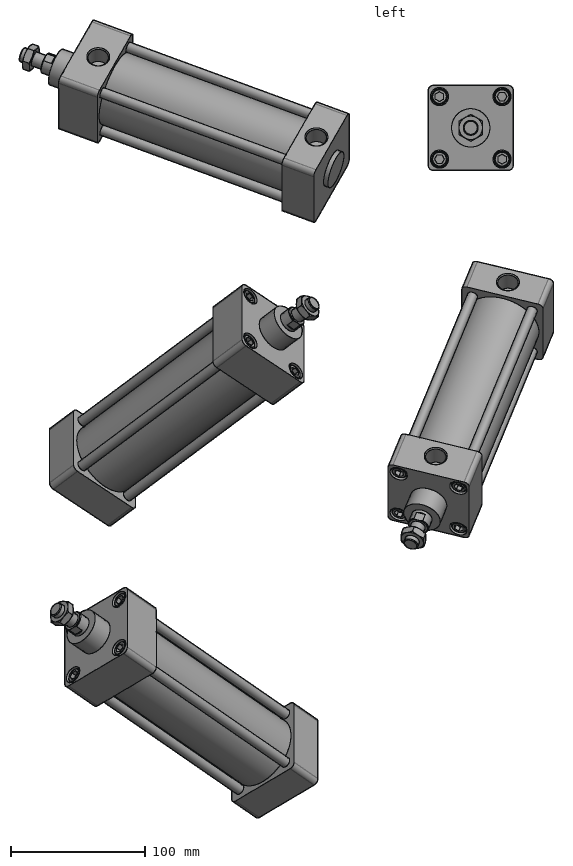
import cadquery as cq
import math


overall_length = 257.35
cap_size = 63.5
cap_corner_radius = 4.0
head_length = 31.75
rear_length = 26.2
tube_length = 151.2
tube_diameter = 57.15
tube_bore = 50.8
boss_diameter = 28.575
head_boss_length = 16.3

rod_diameter = 15.875
rod_chamfer = 0.6
thread_diameter = 11.11
thread_end_diameter = 9.74
flats_width = 14.29
flats_length = 6.9
rod_projection = 9.5
thread_length = 18.8

nut_width = 17.46
nut_thickness = 6.0
nut_offset = 4.3
nut_chamfer_length = 0.6

port_diameter = 15.28
port_mouth_diameter = 17.1
port_depth = 15.875
port_from_inner_face = 13.8

tie_spacing = 46.6
tie_diameter = 7.94
tie_head_diameter = 11.76
tie_head_chamfer = 0.8
tie_head_length = 7.94
tie_head_recess = 0.8
tie_engagement = 19.05
counterbore_diameter = 13.46
socket_width = 6.35
socket_depth = 4.0
socket_turns = {(1, 1): 0, (1, -1): 30, (-1, 1): 30, (-1, -1): 0}

hexagon_half_angle = 30

rear_start = head_length + tube_length
rear_end = rear_start + rear_length
shoulder_x = -head_boss_length - rod_projection
rod_start = shoulder_x - thread_length
rear_boss_length = rod_start + overall_length - rear_end
nut_start = rod_start + nut_offset
tie_head_end = tie_head_recess + tie_head_length
tie_end = rear_start + tie_engagement
tie_positions = [(y * tie_spacing / 2, z * tie_spacing / 2) for y, z in socket_turns]


def section_at(x):
    """Workplane across the cylinder axis: local x is Y, local y is Z."""
    return cq.Workplane("YZ", origin=(x, 0, 0))


def bar(x, length, diameter, centers=((0, 0),)):
    return section_at(x).pushPoints(centers).circle(diameter / 2).extrude(length)


def across_corners(width):
    return width / math.cos(math.radians(hexagon_half_angle))


def hexagon(x, length, width, turn=0, center=(0, 0)):
    """Hexagonal prism; at no turn two corners point along Z."""
    corner_diameter = across_corners(width)
    prism = section_at(x).polygon(6, corner_diameter).extrude(length)
    prism = prism.rotate((0, 0, 0), (1, 0, 0), turn + hexagon_half_angle)
    return prism.translate((0, *center))


def cap_block(x, length):
    block = section_at(x).rect(cap_size, cap_size).extrude(length)
    return block.edges("|X").fillet(cap_corner_radius)


def port(x):
    """Blind port going down from the top face, with a 45 degree chamfered mouth."""
    top = cap_size / 2
    mouth_chamfer = (port_mouth_diameter - port_diameter) / 2
    profile = [
        (0, top),
        (port_mouth_diameter / 2, top),
        (port_diameter / 2, top - mouth_chamfer),
        (port_diameter / 2, top - port_depth),
        (0, top - port_depth),
    ]
    cutter = cq.Workplane("XZ").polyline(profile).close().revolve(360, (0, 0), (0, 1))
    return cutter.translate((x, 0, 0))


def make_head():
    body = cap_block(0, head_length)
    body = body.union(bar(-head_boss_length, head_boss_length, boss_diameter))
    body = body.cut(bar(-head_boss_length, head_boss_length + head_length, rod_diameter))
    body = body.cut(bar(0, head_length, tie_diameter, tie_positions))
    body = body.cut(bar(0, tie_head_end, counterbore_diameter, tie_positions))
    return body.cut(port(head_length - port_from_inner_face))


def make_rear_cap():
    body = cap_block(rear_start, rear_length)
    body = body.union(bar(rear_end, rear_boss_length, boss_diameter))
    body = body.cut(bar(rear_start, tie_engagement, tie_diameter, tie_positions))
    return body.cut(port(rear_start + port_from_inner_face))


def make_tube():
    tube = bar(head_length, tube_length, tube_diameter)
    return tube.cut(bar(head_length, tube_length, tube_bore))


def make_rod():
    thread_chamfer = (thread_diameter - thread_end_diameter) / 2
    thread = bar(rod_start, thread_length, thread_diameter).faces("<X").chamfer(thread_chamfer)
    rod = bar(shoulder_x, head_length - shoulder_x, rod_diameter).faces("<X").chamfer(rod_chamfer)
    flat_cut = section_at(shoulder_x).rect(2 * rod_diameter, 2 * rod_diameter)
    flat_cut = flat_cut.rect(2 * rod_diameter, flats_width).extrude(flats_length)
    return rod.cut(flat_cut).union(thread)


def make_nut():
    corner_diameter = across_corners(nut_width)
    corner_drop = (corner_diameter - nut_width) / 2
    disc = bar(nut_start, nut_thickness, corner_diameter)
    chamfered_disc = disc.faces("<X or >X").chamfer(nut_chamfer_length, corner_drop)
    nut = hexagon(nut_start, nut_thickness, nut_width).intersect(chamfered_disc)
    return nut.cut(bar(nut_start, nut_thickness, thread_diameter))


def make_tie_rod(center, socket_turn):
    shank = bar(tie_head_end, tie_end - tie_head_end, tie_diameter, [center])
    head = bar(tie_head_recess, tie_head_length, tie_head_diameter, [center])
    head = head.faces("<X").edges().chamfer(tie_head_chamfer)
    socket = hexagon(tie_head_recess, socket_depth, socket_width, socket_turn, center)
    return head.union(shank).cut(socket)


head = make_head()
rear_cap = make_rear_cap()
tube = make_tube()
rod = make_rod()
nut = make_nut()
tie_rods = [make_tie_rod(*tie) for tie in zip(tie_positions, socket_turns.values())]

result = cq.Compound.makeCompound(
    [head.val(), rear_cap.val(), tube.val(), rod.val(), nut.val(), *[tie.val() for tie in tie_rods]]
)